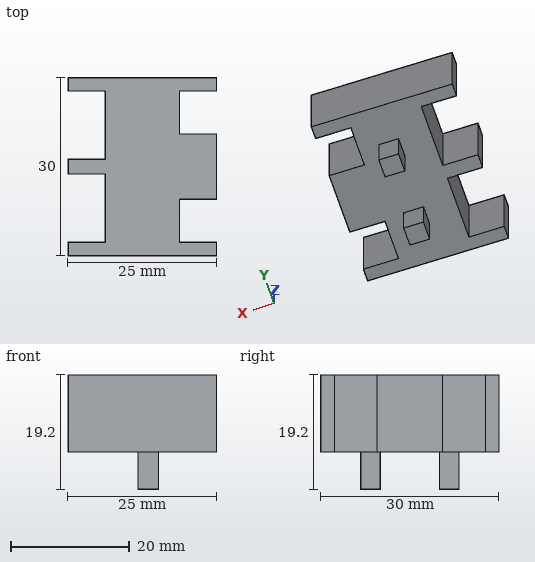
import cadquery as cq

body_length = 25.0
body_width = 30.0
body_height = 13.0

core_length = body_length / 2
end_wall_thickness = 2.3
rib_thickness = 2.5
block_width = 11.0

peg_length = 3.5
peg_width = 3.3
peg_height = 6.25
peg_spacing = 13.25
peg_offset = 1.0


def standing_box(length, width, x_centre, y_centre):
    """Full-height box standing on the Z = 0 plane."""
    box = cq.Workplane("XY").box(length, width, body_height, centered=(True, True, False))
    return box.translate((x_centre, y_centre, 0))


def make_body():
    """Core, two end walls across Y, a thin rib on -X and a wide block on +X."""
    body = standing_box(core_length, body_width, 0, 0)
    wall_centre = (body_width - end_wall_thickness) / 2
    for side in (-1, 1):
        wall = standing_box(body_length, end_wall_thickness, 0, side * wall_centre)
        body = body.union(wall)

    half_length = body_length / 2
    rib = standing_box(half_length, rib_thickness, -half_length / 2, 0)
    block = standing_box(half_length, block_width, half_length / 2, 0)
    return body.union(rib).union(block).clean()


def add_pegs(body):
    """Two rectangular pegs hanging from the underside."""
    for side in (-1, 1):
        peg = cq.Workplane("XY").box(peg_length, peg_width, peg_height, centered=(True, True, False))
        peg = peg.translate((peg_offset, side * peg_spacing / 2, -peg_height))
        body = body.union(peg)
    return body


result = add_pegs(make_body())